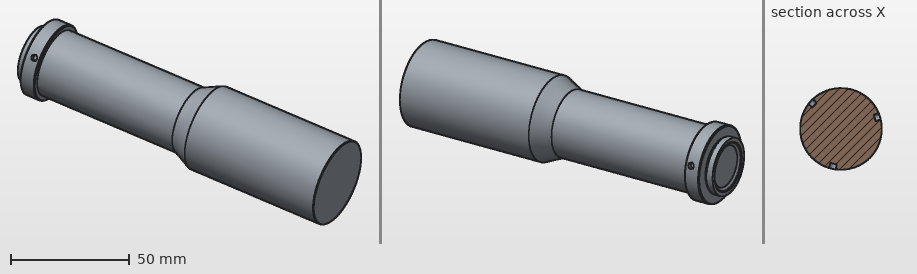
import cadquery as cq

TOTAL_LENGTH = 151.6
TIP_LAND_END = 3.0
COLLAR_START = 4.0
COLLAR_END = 11.2
CONE_START = 78.5
CONE_END = 87.3

TIP_RADIUS = 12.7
NECK_RADIUS = 12.1
COLLAR_RADIUS = 17.3
BARREL_RADIUS = 15.0
BODY_RADIUS = 38.0 / 2

COLLAR_CHAMFER = 0.5
END_CHAMFER = 0.3

RECESS_MOUTH_RADIUS = 10.9
RECESS_STEP_RADIUS = 10.5
RECESS_FLOOR_RADIUS = 9.2
RECESS_STEP_DEPTH = 0.5
RECESS_DEPTH = 1.4

SCREW_COUNT = 3
FIRST_SCREW_ANGLE = 42.0
SCREW_X = 8.3
SCREW_HOLE_RADIUS = 1.4
SCREW_HOLE_DEPTH = 2.3


def revolve_about_x(points):
    """Revolve a closed (x, radius) outline about the X axis."""
    return cq.Workplane("XY").polyline(points).close().revolve(360, (0, 0, 0), (1, 0, 0))


def make_tube():
    """Solid turned body: tip, neck, collar, barrel, cone and large body."""
    return revolve_about_x([
        (0, 0),
        (0, TIP_RADIUS),
        (TIP_LAND_END, TIP_RADIUS),
        (TIP_LAND_END, NECK_RADIUS),
        (COLLAR_START, NECK_RADIUS),
        (COLLAR_START, COLLAR_RADIUS - COLLAR_CHAMFER),
        (COLLAR_START + COLLAR_CHAMFER, COLLAR_RADIUS),
        (COLLAR_END - COLLAR_CHAMFER, COLLAR_RADIUS),
        (COLLAR_END, COLLAR_RADIUS - COLLAR_CHAMFER),
        (COLLAR_END, BARREL_RADIUS),
        (CONE_START, BARREL_RADIUS),
        (CONE_END, BODY_RADIUS),
        (TOTAL_LENGTH - END_CHAMFER, BODY_RADIUS),
        (TOTAL_LENGTH, BODY_RADIUS - END_CHAMFER),
        (TOTAL_LENGTH, 0),
    ])


def make_recess():
    """Straight-walled mouth with a small step, then a taper to a flat floor."""
    return revolve_about_x([
        (0, 0),
        (0, RECESS_MOUTH_RADIUS),
        (RECESS_STEP_DEPTH, RECESS_MOUTH_RADIUS),
        (RECESS_STEP_DEPTH, RECESS_STEP_RADIUS),
        (RECESS_DEPTH, RECESS_FLOOR_RADIUS),
        (RECESS_DEPTH, 0),
    ])


def make_screw_hole(angle):
    """Radial cutter entering the collar at an angle from -Y towards +Z."""
    floor_radius = COLLAR_RADIUS - SCREW_HOLE_DEPTH
    hole = cq.Solid.makeCylinder(
        SCREW_HOLE_RADIUS,
        2 * SCREW_HOLE_DEPTH,
        cq.Vector(SCREW_X, -floor_radius, 0),
        cq.Vector(0, -1, 0),
    )
    return cq.Workplane(hole).rotate((0, 0, 0), (1, 0, 0), -angle)


result = make_tube().cut(make_recess())
for index in range(SCREW_COUNT):
    screw_angle = FIRST_SCREW_ANGLE + index * 360 / SCREW_COUNT
    result = result.cut(make_screw_hole(screw_angle))